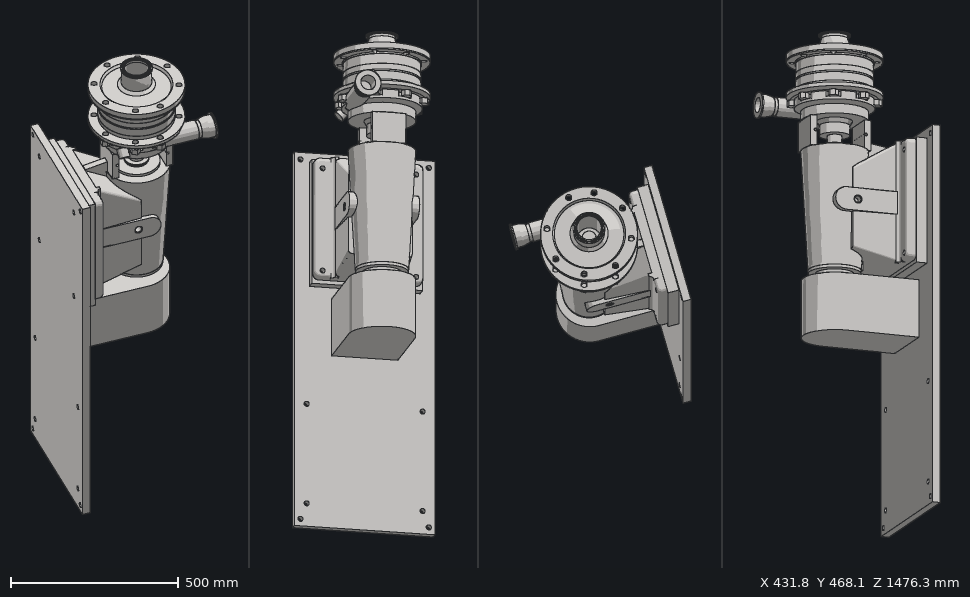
import cadquery as cq
import math


PLATE_WIDTH = 431.8
PLATE_LENGTH = 1168.4
PLATE_THICKNESS = 25.4
OVERALL_HEIGHT = 468.15
SHAFT_HEIGHT = 256.5
PLATE_BOTTOM = -SHAFT_HEIGHT
PLATE_TOP = PLATE_BOTTOM + PLATE_THICKNESS
BOLT_HOLE_DIAMETER = 15.0
CORNER_INSET_X = 19.05
CORNER_INSET_Z = 22.2
GUARD_HOLE_X = 177.8
GUARD_HOLE_Z = (72.0, 383.0)
FOOT_HOLE_X = 143.5
FOOT_HOLE_Z = (783.0, 1103.0)

RISER_HALF_WIDTH = 170.0
RISER_TOP = -197.5
RISER_Z = (750.5, 1137.5)

FOOT_HALF_WIDTH = 167.0
FOOT_TOP = -167.5
FOOT_Z = (762.0, 1137.5)
FOOT_CORNER_RADIUS = 18.0
FOOT_EDGE_RADIUS = 13.0
PEDESTAL_BASE_HALF_WIDTH = 106.5
PEDESTAL_TOP_HALF_WIDTH = 98.0
PEDESTAL_TOP_Y = -21.5
PEDESTAL_TOP_Z = (797.0, 1050.0)
PEDESTAL_EDGE_RADIUS = 10.0
PEDESTAL_BASE_RADIUS = 11.0
SELECTION_MARGIN = 1.0
RIB_THICKNESS = 21.0
TOP_RIB_OUTER_Z = 1141.5
TOP_RIB_INNER_Z = 1151.5
LOWER_RIB_Y = -87.0
LOWER_RIB_Z = (754.0, 790.0)
LUG_HALF_WIDTH = 107.5
LUG_RADIUS = 35.0
LUG_TIP_Y = 37.5
LUG_Z = 945.5
LUG_HOLE_Y = -34.0
LUG_HOLE_DIAMETER = 20.0
LUG_HOLE_CHAMFER = 2.5
LUG_HOLE_DEPTH = 25.0

HOUSING_TOP = 1115.5
HOUSING_TOP_RADIUS = 101.6
TAPER_BOTTOM = 752.5
HOUSING_BOTTOM_RADIUS = 80.5
END_COVER_SPLIT = 746.5
END_COVER_STEP = 1.0
END_COVER_BOTTOM = 737.5
SEAL_COVER_RADIUS = 57.5
SEAL_COVER_BOTTOM = 728.5
SHAFT_COLLAR_RADIUS = 36.0

BEARING_COVER_RADIUS = 71.0
BEARING_COVER_TOP = 1124.0
SLINGER_RADIUS = 37.5
SLINGER_NECK_RADIUS = 35.0
SLINGER_Z = (1129.0, 1135.0)
SHAFT_RADIUS = 22.0
GLAND_RADIUS = 46.0
GLAND_BOTTOM = 1164.0
GLAND_FLARE_RADIUS = 54.0
GLAND_FLARE_HEIGHT = 13.0

ADAPTER_RADIUS = 101.6
ADAPTER_BOTTOM = 1208.5
ADAPTER_TOP = 1238.0
ARM_WIDTH = 103.0
ARM_OUTER_Y = 97.0
ARM_INNER_Y = 76.0
ARM_HOLE_DIAMETER = 8.0
ARM_HOLE_Y = 81.0
ARM_HOLE_Z = 1164.0

FLANGE_RADIUS = 145.3
BACK_RING_RADIUS = 121.0
BACK_RING_BOTTOM = 1247.0
BACK_FLANGE_BEVEL_RADIUS = 133.0
BACK_FLANGE_BEVEL_BOTTOM = 1273.0
BACK_FLANGE_RIM_BOTTOM = 1281.5
BACK_FLANGE_TOP = 1293.0
BARREL_RADIUS = 116.0
BAND_RADIUS = 117.0
LOWER_BAND_BOTTOM = 1306.5
GROOVE_Z = (1332.5, 1337.5)
UPPER_BAND_TOP = 1355.5
FLANGE_NECK_RADIUS = 119.0
FLANGE_NECK_BOTTOM = 1386.0
FRONT_FLANGE_BOTTOM = 1391.0
FRONT_FLANGE_SPLIT = 1395.0
FRONT_FLANGE_LIP = 1.0
FRONT_FACE = 1413.0
BOLT_ANGLES = (13.0, 67.5, 112.5, 157.5, 202.5, 247.5, 292.5, 337.5)
BOLT_CIRCLE_RADIUS = 127.0
CASING_HOLE_DIAMETER = 18.0
NUT_ACROSS_CORNERS = 32.0
SPOTFACE_DIAMETER = 48.0
NUT_BOTTOM = 1255.5

DISH_RIM_RADIUS = 109.0
DISH_RIM_INNER_RADIUS = 104.0
DISH_EDGE_RADIUS = 94.5
DISH_DEPTH = 9.0
NOZZLE_FLARE_RADIUS = 57.0
NOZZLE_FLARE_TOP = 1421.5
NOZZLE_RADIUS = 46.0
NOZZLE_CYLINDER_TOP = 1435.5
NOZZLE_SHOULDER_RADIUS = 44.0
NOZZLE_SHOULDER_Z = 1453.0
NOZZLE_NECK_RADIUS = 39.5
NOZZLE_NECK_TOP = 1465.0
FERRULE_RADIUS = 48.0
FERRULE_THICKNESS = 3.5
NOZZLE_TOP = 1476.3
BORE_RADIUS = 36.5
GASKET_GROOVE_INNER_RADIUS = 40.5
GASKET_GROOVE_OUTER_RADIUS = 44.0
GASKET_GROOVE_DEPTH = 1.5
BORE_BOTTOM = 1340.0
IMPELLER_NUT_RADIUS = 21.5
IMPELLER_NUT_HEIGHT = 20.0

DISCHARGE_X = 90.0
DISCHARGE_Z = 1262.0
DISCHARGE_END = OVERALL_HEIGHT - SHAFT_HEIGHT
DISCHARGE_PIPE_RADIUS = 29.5
DISCHARGE_PIPE_END = 156.0
DISCHARGE_GROOVE_RADIUS = 27.0
DISCHARGE_GROOVE_END = 166.0
DISCHARGE_CONE_START_RADIUS = 29.0
DISCHARGE_CONE_RADIUS = 34.5
DISCHARGE_CONE_END = 188.0
DISCHARGE_FERRULE_RADIUS = 39.5
DISCHARGE_FERRULE_THICKNESS = 4.5
DISCHARGE_BORE_RADIUS = 22.5
DISCHARGE_BORE_DEPTH = 60.0

DRAIN_END = (114.0, -82.0, 1240.0)
DRAIN_RADIUS = 17.0
DRAIN_LENGTH = 30.0

GUARD_RADIUS = 101.6
GUARD_CENTRE_Y = -2.0
GUARD_Z = (538.0, 715.8)


def block(x_range, y_range, z_range):
    size = [r[1] - r[0] for r in (x_range, y_range, z_range)]
    corner = (x_range[0], y_range[0], z_range[0])
    return cq.Workplane("XY").box(*size, centered=False).translate(corner)


def sym(half_width):
    return (-half_width, half_width)


def drill_along_y(points, diameter, y_range):
    drills = cq.Workplane("XZ", origin=(0, y_range[1], 0)).pushPoints(points)
    return drills.circle(diameter / 2).extrude(y_range[1] - y_range[0])


def mirrored_points(x, z_values):
    return [(side * x, z) for side in (-1, 1) for z in z_values]


def bolt_circle(z):
    angles = [math.radians(angle) for angle in BOLT_ANGLES]
    points = [(BOLT_CIRCLE_RADIUS * math.cos(a), BOLT_CIRCLE_RADIUS * math.sin(a)) for a in angles]
    return cq.Workplane("XY", origin=(0, 0, z)).pushPoints(points)


def foot_bolt_drills():
    points = mirrored_points(FOOT_HOLE_X, FOOT_HOLE_Z)
    return drill_along_y(points, BOLT_HOLE_DIAMETER, (PLATE_BOTTOM, FOOT_TOP))


def make_base():
    plate = block(sym(PLATE_WIDTH / 2), (PLATE_BOTTOM, PLATE_TOP), (0, PLATE_LENGTH))
    riser = block(sym(RISER_HALF_WIDTH), (PLATE_TOP, RISER_TOP), RISER_Z)
    corner_z = (CORNER_INSET_Z, PLATE_LENGTH - CORNER_INSET_Z)
    points = mirrored_points(PLATE_WIDTH / 2 - CORNER_INSET_X, corner_z)
    points += mirrored_points(GUARD_HOLE_X, GUARD_HOLE_Z)
    plate_drills = drill_along_y(points, BOLT_HOLE_DIAMETER, (PLATE_BOTTOM, PLATE_TOP))
    return plate.union(riser).cut(plate_drills).cut(foot_bolt_drills())


def make_guard():
    bottom, top = GUARD_Z
    profile = (
        cq.Workplane("XY", origin=(0, 0, bottom))
        .moveTo(-GUARD_RADIUS, PLATE_TOP)
        .lineTo(GUARD_RADIUS, PLATE_TOP)
        .lineTo(GUARD_RADIUS, GUARD_CENTRE_Y)
        .threePointArc((0, GUARD_CENTRE_Y + GUARD_RADIUS), (-GUARD_RADIUS, GUARD_CENTRE_Y))
        .close()
    )
    return profile.extrude(top - bottom)


def turned_around_shaft(outline):
    return cq.Workplane("XZ").polyline(outline).close().revolve(360, (0, 0, 0), (0, 1, 0))


def make_bearing_housing():
    cover_radius = HOUSING_BOTTOM_RADIUS - END_COVER_STEP
    return turned_around_shaft([
        (0, GUARD_Z[1]),
        (SHAFT_COLLAR_RADIUS, GUARD_Z[1]),
        (SHAFT_COLLAR_RADIUS, SEAL_COVER_BOTTOM),
        (SEAL_COVER_RADIUS, SEAL_COVER_BOTTOM),
        (SEAL_COVER_RADIUS, END_COVER_BOTTOM),
        (cover_radius, END_COVER_BOTTOM),
        (cover_radius, END_COVER_SPLIT),
        (HOUSING_BOTTOM_RADIUS, END_COVER_SPLIT),
        (HOUSING_BOTTOM_RADIUS, TAPER_BOTTOM),
        (HOUSING_TOP_RADIUS, HOUSING_TOP),
        (0, HOUSING_TOP),
    ])


def make_shaft_and_gland():
    flare_bottom = ADAPTER_BOTTOM - GLAND_FLARE_HEIGHT
    return turned_around_shaft([
        (0, HOUSING_TOP),
        (BEARING_COVER_RADIUS, HOUSING_TOP),
        (BEARING_COVER_RADIUS, BEARING_COVER_TOP),
        (SLINGER_NECK_RADIUS, BEARING_COVER_TOP),
        (SLINGER_NECK_RADIUS, SLINGER_Z[0]),
        (SLINGER_RADIUS, SLINGER_Z[0]),
        (SLINGER_RADIUS, SLINGER_Z[1]),
        (SHAFT_RADIUS, SLINGER_Z[1]),
        (SHAFT_RADIUS, GLAND_BOTTOM),
        (GLAND_RADIUS, GLAND_BOTTOM),
        (GLAND_RADIUS, flare_bottom),
        (GLAND_FLARE_RADIUS, ADAPTER_BOTTOM),
        (0, ADAPTER_BOTTOM),
    ])


def make_adapter_arms():
    arms = cq.Workplane("XY")
    for side in (-1, 1):
        y_range = sorted((side * ARM_INNER_Y, side * ARM_OUTER_Y))
        arm = block(sym(ARM_WIDTH / 2), y_range, (HOUSING_TOP, ADAPTER_BOTTOM))
        hole = (
            cq.Workplane("YZ", origin=(-ARM_WIDTH / 2, side * ARM_HOLE_Y, ARM_HOLE_Z))
            .circle(ARM_HOLE_DIAMETER / 2)
            .extrude(ARM_WIDTH)
        )
        arms = arms.add(arm.cut(hole))
    return arms.combine()


def make_casing():
    lip_radius = FLANGE_RADIUS - FRONT_FLANGE_LIP
    dish_floor = FRONT_FACE - DISH_DEPTH
    casing = (
        cq.Workplane("XZ")
        .moveTo(0, ADAPTER_BOTTOM)
        .lineTo(ADAPTER_RADIUS, ADAPTER_BOTTOM)
        .lineTo(ADAPTER_RADIUS, ADAPTER_TOP)
        .lineTo(BACK_RING_RADIUS, BACK_RING_BOTTOM)
        .lineTo(BACK_RING_RADIUS, BACK_FLANGE_BEVEL_BOTTOM)
        .lineTo(BACK_FLANGE_BEVEL_RADIUS, BACK_FLANGE_BEVEL_BOTTOM)
        .lineTo(FLANGE_RADIUS, BACK_FLANGE_RIM_BOTTOM)
        .lineTo(FLANGE_RADIUS, BACK_FLANGE_TOP)
        .lineTo(BARREL_RADIUS, BACK_FLANGE_TOP)
        .lineTo(BARREL_RADIUS, LOWER_BAND_BOTTOM)
        .lineTo(BAND_RADIUS, LOWER_BAND_BOTTOM)
        .lineTo(BAND_RADIUS, GROOVE_Z[0])
        .lineTo(BARREL_RADIUS, GROOVE_Z[0])
        .lineTo(BARREL_RADIUS, GROOVE_Z[1])
        .lineTo(BAND_RADIUS, GROOVE_Z[1])
        .lineTo(BAND_RADIUS, UPPER_BAND_TOP)
        .lineTo(BARREL_RADIUS, UPPER_BAND_TOP)
        .lineTo(BARREL_RADIUS, FLANGE_NECK_BOTTOM)
        .lineTo(FLANGE_NECK_RADIUS, FLANGE_NECK_BOTTOM)
        .lineTo(FLANGE_NECK_RADIUS, FRONT_FLANGE_BOTTOM)
        .lineTo(lip_radius, FRONT_FLANGE_BOTTOM)
        .lineTo(lip_radius, FRONT_FLANGE_SPLIT)
        .lineTo(FLANGE_RADIUS, FRONT_FLANGE_SPLIT)
        .lineTo(FLANGE_RADIUS, FRONT_FACE)
        .lineTo(DISH_RIM_RADIUS, FRONT_FACE)
        .lineTo(DISH_RIM_INNER_RADIUS, dish_floor)
        .lineTo(DISH_EDGE_RADIUS, dish_floor)
        .lineTo(NOZZLE_FLARE_RADIUS, FRONT_FACE)
        .lineTo(NOZZLE_RADIUS, NOZZLE_FLARE_TOP)
        .lineTo(NOZZLE_RADIUS, NOZZLE_CYLINDER_TOP)
        .threePointArc(
            (NOZZLE_SHOULDER_RADIUS, NOZZLE_SHOULDER_Z),
            (NOZZLE_NECK_RADIUS, NOZZLE_NECK_TOP),
        )
        .lineTo(NOZZLE_NECK_RADIUS, NOZZLE_TOP - FERRULE_THICKNESS)
        .lineTo(FERRULE_RADIUS, NOZZLE_TOP - FERRULE_THICKNESS)
        .lineTo(FERRULE_RADIUS, NOZZLE_TOP)
        .lineTo(BORE_RADIUS, NOZZLE_TOP)
        .lineTo(BORE_RADIUS, BORE_BOTTOM)
        .lineTo(0, BORE_BOTTOM)
        .close()
        .revolve(360, (0, 0, 0), (0, 1, 0))
    )
    nut_height = BACK_FLANGE_BEVEL_BOTTOM - NUT_BOTTOM
    holes = bolt_circle(BACK_FLANGE_BEVEL_BOTTOM).circle(CASING_HOLE_DIAMETER / 2)
    spotfaces = bolt_circle(NUT_BOTTOM).circle(SPOTFACE_DIAMETER / 2).extrude(nut_height)
    nuts = bolt_circle(NUT_BOTTOM).polygon(6, NUT_ACROSS_CORNERS).extrude(nut_height)
    impeller_nut = (
        cq.Workplane("XY", origin=(0, 0, BORE_BOTTOM))
        .circle(IMPELLER_NUT_RADIUS)
        .extrude(IMPELLER_NUT_HEIGHT)
    )
    gasket_groove = (
        cq.Workplane("XY", origin=(0, 0, NOZZLE_TOP - GASKET_GROOVE_DEPTH))
        .circle(GASKET_GROOVE_OUTER_RADIUS)
        .circle(GASKET_GROOVE_INNER_RADIUS)
        .extrude(GASKET_GROOVE_DEPTH)
    )
    casing = casing.cut(holes.extrude(FRONT_FACE - BACK_FLANGE_BEVEL_BOTTOM)).cut(spotfaces)
    return casing.union(nuts).union(impeller_nut).cut(gasket_groove)


def make_discharge():
    ferrule_back = DISCHARGE_END - DISCHARGE_FERRULE_THICKNESS
    outline = [
        (0, 0),
        (DISCHARGE_PIPE_RADIUS, 0),
        (DISCHARGE_PIPE_RADIUS, DISCHARGE_PIPE_END),
        (DISCHARGE_GROOVE_RADIUS, DISCHARGE_PIPE_END),
        (DISCHARGE_GROOVE_RADIUS, DISCHARGE_GROOVE_END),
        (DISCHARGE_CONE_START_RADIUS, DISCHARGE_GROOVE_END),
        (DISCHARGE_CONE_RADIUS, DISCHARGE_CONE_END),
        (DISCHARGE_CONE_RADIUS, ferrule_back),
        (DISCHARGE_FERRULE_RADIUS, ferrule_back),
        (DISCHARGE_FERRULE_RADIUS, DISCHARGE_END),
        (0, DISCHARGE_END),
    ]
    pipe = cq.Workplane("XY").polyline(outline).close().revolve(360, (0, 0, 0), (0, 1, 0))
    return pipe.translate((DISCHARGE_X, 0, DISCHARGE_Z))


def discharge_bore():
    plane = cq.Workplane("XZ", origin=(DISCHARGE_X, DISCHARGE_END, DISCHARGE_Z))
    return plane.circle(DISCHARGE_BORE_RADIUS).extrude(DISCHARGE_BORE_DEPTH)


def make_drain():
    slope = math.sqrt(0.5)
    plane = cq.Plane(origin=DRAIN_END, xDir=(0, 1, 0), normal=(-slope, 0, slope))
    return cq.Workplane(plane).circle(DRAIN_RADIUS).extrude(DRAIN_LENGTH)


def extruded_side_profile(points, half_width):
    profile = cq.Workplane("YZ", origin=(-half_width, 0, 0)).polyline(points).close()
    return profile.extrude(2 * half_width)


def make_base_flare(side):
    inner_x = PEDESTAL_BASE_HALF_WIDTH - PEDESTAL_EDGE_RADIUS
    outer_x = PEDESTAL_BASE_HALF_WIDTH + PEDESTAL_BASE_RADIUS
    upper_y = FOOT_TOP + PEDESTAL_BASE_RADIUS
    lower_y = FOOT_TOP - FOOT_EDGE_RADIUS
    arc_offset = PEDESTAL_BASE_RADIUS * (1 - math.sqrt(0.5))
    return (
        cq.Workplane("XY", origin=(0, 0, FOOT_Z[0]))
        .moveTo(side * inner_x, lower_y)
        .lineTo(side * inner_x, upper_y)
        .lineTo(side * PEDESTAL_BASE_HALF_WIDTH, upper_y)
        .threePointArc(
            (side * (PEDESTAL_BASE_HALF_WIDTH + arc_offset), FOOT_TOP + arc_offset),
            (side * outer_x, FOOT_TOP),
        )
        .lineTo(side * outer_x, lower_y)
        .close()
        .extrude(FOOT_Z[1] - FOOT_Z[0])
    )


def make_pedestal():
    foot = (
        block(sym(FOOT_HALF_WIDTH), (RISER_TOP, FOOT_TOP), FOOT_Z)
        .edges("|Y").fillet(FOOT_CORNER_RADIUS)
        .faces(">Y").edges().fillet(FOOT_EDGE_RADIUS)
    )
    column = extruded_side_profile(
        [
            (RISER_TOP, FOOT_Z[0]),
            (FOOT_TOP, FOOT_Z[0]),
            (PEDESTAL_TOP_Y, PEDESTAL_TOP_Z[0]),
            (PEDESTAL_TOP_Y, PEDESTAL_TOP_Z[1]),
            (FOOT_TOP, FOOT_Z[1]),
            (RISER_TOP, FOOT_Z[1]),
        ],
        FOOT_HALF_WIDTH,
    )
    drafted_sides = (
        cq.Workplane("XY", origin=(0, 0, FOOT_Z[0]))
        .polyline([
            (-PEDESTAL_BASE_HALF_WIDTH, RISER_TOP),
            (PEDESTAL_BASE_HALF_WIDTH, RISER_TOP),
            (PEDESTAL_BASE_HALF_WIDTH, FOOT_TOP),
            (PEDESTAL_TOP_HALF_WIDTH, PEDESTAL_TOP_Y),
            (-PEDESTAL_TOP_HALF_WIDTH, PEDESTAL_TOP_Y),
            (-PEDESTAL_BASE_HALF_WIDTH, FOOT_TOP),
        ])
        .close()
        .extrude(FOOT_Z[1] - FOOT_Z[0])
    )
    between_foot_and_top = cq.selectors.BoxSelector(
        (-FOOT_HALF_WIDTH, FOOT_TOP + SELECTION_MARGIN, FOOT_Z[0]),
        (FOOT_HALF_WIDTH, PEDESTAL_TOP_Y - SELECTION_MARGIN, FOOT_Z[1]),
    )
    column = column.intersect(drafted_sides).edges(between_foot_and_top).fillet(PEDESTAL_EDGE_RADIUS)
    pedestal = foot.union(column)
    for side in (-1, 1):
        pedestal = pedestal.union(make_base_flare(side))
    return pedestal


def make_ribs():
    upper = extruded_side_profile(
        [
            (FOOT_TOP, FOOT_Z[1]),
            (FOOT_TOP, TOP_RIB_OUTER_Z),
            (-ARM_OUTER_Y, TOP_RIB_INNER_Z),
            (-ARM_INNER_Y, TOP_RIB_INNER_Z),
            (-ARM_INNER_Y, PEDESTAL_TOP_Z[1]),
            (FOOT_TOP, PEDESTAL_TOP_Z[1]),
        ],
        RIB_THICKNESS / 2,
    )
    lower = block(sym(RIB_THICKNESS / 2), (LOWER_RIB_Y, 0), LOWER_RIB_Z)
    return upper.union(lower)


def make_lugs():
    centre_y = LUG_TIP_Y - LUG_RADIUS
    return (
        cq.Workplane("YZ", origin=(-LUG_HALF_WIDTH, 0, LUG_Z))
        .moveTo(FOOT_TOP, -LUG_RADIUS)
        .lineTo(centre_y, -LUG_RADIUS)
        .threePointArc((LUG_TIP_Y, 0), (centre_y, LUG_RADIUS))
        .lineTo(FOOT_TOP, LUG_RADIUS)
        .close()
        .extrude(2 * LUG_HALF_WIDTH)
    )


def lug_hole(side):
    radius = LUG_HOLE_DIAMETER / 2
    outline = [
        (0, 0),
        (radius + LUG_HOLE_CHAMFER, 0),
        (radius, LUG_HOLE_CHAMFER),
        (radius, LUG_HOLE_DEPTH),
        (0, LUG_HOLE_DEPTH),
    ]
    hole = cq.Workplane("XY").polyline(outline).close().revolve(360, (0, 0, 0), (0, 1, 0))
    hole = hole.rotate((0, 0, 0), (0, 0, 1), side * 90)
    return hole.translate((side * LUG_HALF_WIDTH, LUG_HOLE_Y, LUG_Z))


def make_pump():
    pump = make_bearing_housing()
    features = (
        make_shaft_and_gland(), make_adapter_arms(), make_casing(), make_discharge(),
        make_drain(), make_pedestal(), make_ribs(), make_lugs(),
    )
    for feature in features:
        pump = pump.union(feature)
    pump = pump.cut(discharge_bore()).cut(foot_bolt_drills())
    for side in (-1, 1):
        pump = pump.cut(lug_hole(side))
    return pump


base = make_base()
pump = make_pump()
guard = make_guard()

result = cq.Compound.makeCompound([base.solids().val(), pump.solids().val(), guard.val()])